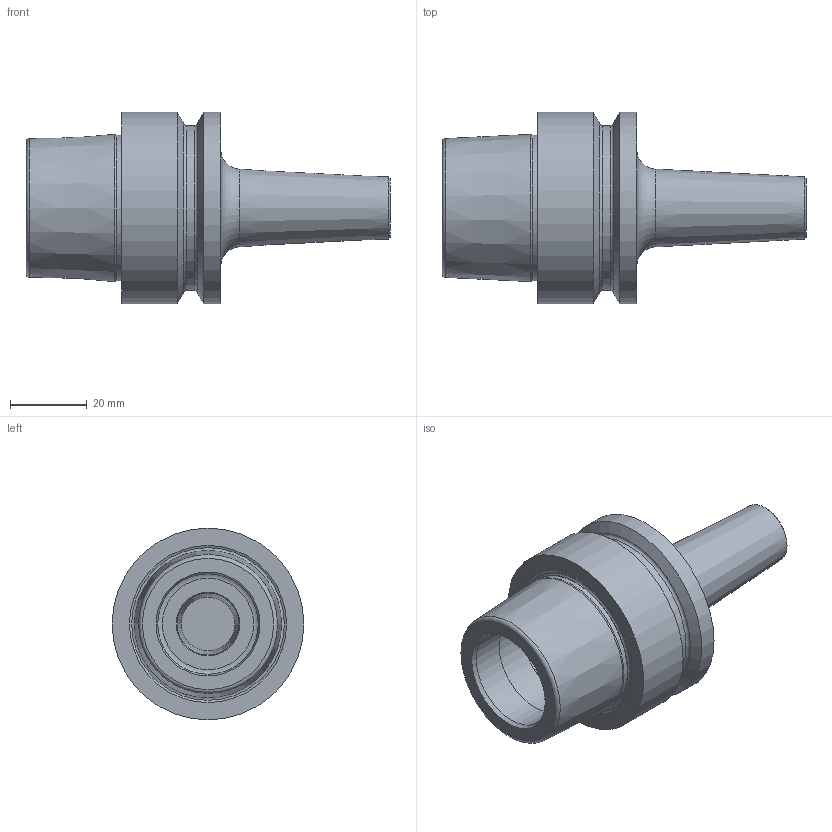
import cadquery as cq
import math

TOTAL_LENGTH = 94.9
FLANGE_START = 24.9
FLANGE_LENGTH = 25.9
FLANGE_END = FLANGE_START + FLANGE_LENGTH
FLANGE_RADIUS = 25.0

SHANK_CONE_END = 23.0
SHANK_LARGE_RADIUS = 19.2
SHANK_TAPER = 0.05
SHANK_NOSE_FILLET = 1.0
NECK_START = 23.6
NECK_END = 24.6
NECK_RADIUS = 19.0

RECESS_FLOOR_RADIUS = 19.9
RECESS_OUTER_RADIUS = 20.5
RECESS_DEPTH = 0.3

GROOVE_CENTRE = 42.85
GROOVE_HALF_FLOOR = 1.1
GROOVE_FLOOR_RADIUS = 21.5
GROOVE_WALL_ANGLE = math.radians(30.0)
GROOVE_FILLET = 0.8

NOSE_END_RADIUS = 8.1
NOSE_ANGLE = math.radians(3.0)
NOSE_ROOT_FILLET = 5.0
NOSE_CHAMFER = 0.3

BORE_RADIUS = 13.1
BORE_MOUTH_RADIUS = 13.55
BORE_MOUTH_DEPTH = 1.2
BORE_LIP_END = 9.6
CHAMBER_RADIUS = 14.0
BORE_DEPTH = 21.0
BORE_FLOOR_FILLET = 2.1
POCKET_RADIUS = 8.1
POCKET_MOUTH_CHAMFER = 0.2
POCKET_DEPTH = 8.0
POCKET_FLOOR_RADIUS = 7.0


def turn(profile):
    """Revolve a closed (x, radius) profile about the X axis."""
    return profile.close().revolve(360, (0, 0, 0), (1, 0, 0))


def shank_radius(x):
    return SHANK_LARGE_RADIUS - (SHANK_CONE_END - x) * SHANK_TAPER


def nose_radius(x):
    return NOSE_END_RADIUS + (TOTAL_LENGTH - x) * math.tan(NOSE_ANGLE)


def make_shank():
    """Tapered shank with rounded end, carried through the neck into the flange."""
    fillet = SHANK_NOSE_FILLET
    mid = fillet * (1 - math.sqrt(0.5))
    rim = shank_radius(fillet)
    recess_floor = FLANGE_START + RECESS_DEPTH
    profile = (
        cq.Workplane("XY")
        .lineTo(0, rim - fillet)
        .threePointArc((mid, rim - mid), (fillet, rim))
        .lineTo(SHANK_CONE_END, SHANK_LARGE_RADIUS)
        .lineTo(NECK_START, NECK_RADIUS)
        .lineTo(recess_floor, NECK_RADIUS)
        .lineTo(recess_floor, 0)
    )
    return turn(profile)


def make_flange():
    profile = (
        cq.Workplane("XY")
        .moveTo(FLANGE_START, 0)
        .lineTo(FLANGE_START, FLANGE_RADIUS)
        .lineTo(FLANGE_END, FLANGE_RADIUS)
        .lineTo(FLANGE_END, 0)
    )
    return turn(profile)


def make_face_recess():
    """Ring cut: curved up from the neck, then sloping back out to the flange face."""
    floor = FLANGE_START + RECESS_DEPTH
    length = floor - NECK_END
    height = RECESS_FLOOR_RADIUS - NECK_RADIUS
    arc_mid = (NECK_END + length * math.sqrt(0.5), NECK_RADIUS + height * (1 - math.sqrt(0.5)))
    profile = (
        cq.Workplane("XY")
        .moveTo(NECK_END, NECK_RADIUS)
        .threePointArc(arc_mid, (floor, RECESS_FLOOR_RADIUS))
        .lineTo(FLANGE_START, RECESS_OUTER_RADIUS)
        .lineTo(NECK_END, RECESS_OUTER_RADIUS)
    )
    return turn(profile)


def make_groove():
    """Ring cut with a flat floor, quarter-round floor corners and flared walls."""
    fillet = GROOVE_FILLET
    mid = fillet * (1 - math.sqrt(0.5))
    half_neck = GROOVE_HALF_FLOOR + fillet
    wall_foot = GROOVE_FLOOR_RADIUS + fillet
    half_mouth = half_neck + (FLANGE_RADIUS - wall_foot) * math.tan(GROOVE_WALL_ANGLE)
    profile = (
        cq.Workplane("XY")
        .moveTo(GROOVE_CENTRE - half_mouth, FLANGE_RADIUS)
        .lineTo(GROOVE_CENTRE - half_neck, wall_foot)
        .threePointArc(
            (GROOVE_CENTRE - half_neck + mid, GROOVE_FLOOR_RADIUS + mid),
            (GROOVE_CENTRE - GROOVE_HALF_FLOOR, GROOVE_FLOOR_RADIUS),
        )
        .lineTo(GROOVE_CENTRE + GROOVE_HALF_FLOOR, GROOVE_FLOOR_RADIUS)
        .threePointArc(
            (GROOVE_CENTRE + half_neck - mid, GROOVE_FLOOR_RADIUS + mid),
            (GROOVE_CENTRE + half_neck, wall_foot),
        )
        .lineTo(GROOVE_CENTRE + half_mouth, FLANGE_RADIUS)
    )
    return turn(profile)


def make_nose():
    """Tapered nose, blended into the flange by a fillet tangent to both."""
    fillet = NOSE_ROOT_FILLET
    centre_x = FLANGE_END + fillet
    centre_r = nose_radius(centre_x) + fillet / math.cos(NOSE_ANGLE)

    def arc_point(angle):
        """Point at an angle from the flange face towards the cone."""
        return (centre_x - fillet * math.cos(angle), centre_r - fillet * math.sin(angle))

    tangent_angle = math.pi / 2 - NOSE_ANGLE
    chamfer_start = TOTAL_LENGTH - NOSE_CHAMFER
    profile = (
        cq.Workplane("XY")
        .moveTo(FLANGE_END, 0)
        .lineTo(*arc_point(0))
        .threePointArc(arc_point(tangent_angle / 2), arc_point(tangent_angle))
        .lineTo(chamfer_start, nose_radius(chamfer_start))
        .lineTo(TOTAL_LENGTH, NOSE_END_RADIUS - NOSE_CHAMFER)
        .lineTo(TOTAL_LENGTH, 0)
    )
    return turn(profile)


def make_bore():
    """Chamfered bore opening into a round-cornered chamber, with a tapered pocket in its floor."""
    fillet = BORE_FLOOR_FILLET
    mid = fillet * (1 - math.sqrt(0.5))
    pocket_mouth = POCKET_RADIUS + POCKET_MOUTH_CHAMFER
    pocket_floor = BORE_DEPTH + POCKET_DEPTH
    profile = (
        cq.Workplane("XY")
        .lineTo(0, BORE_MOUTH_RADIUS)
        .lineTo(BORE_MOUTH_DEPTH, BORE_RADIUS)
        .lineTo(BORE_LIP_END, BORE_RADIUS)
        .lineTo(BORE_LIP_END, CHAMBER_RADIUS)
        .lineTo(BORE_DEPTH - fillet, CHAMBER_RADIUS)
        .threePointArc((BORE_DEPTH - mid, CHAMBER_RADIUS - mid), (BORE_DEPTH, CHAMBER_RADIUS - fillet))
        .lineTo(BORE_DEPTH, pocket_mouth)
        .lineTo(BORE_DEPTH + POCKET_MOUTH_CHAMFER, POCKET_RADIUS)
        .lineTo(pocket_floor, POCKET_FLOOR_RADIUS)
        .lineTo(pocket_floor, 0)
    )
    return turn(profile)


flange = make_flange().cut(make_face_recess()).cut(make_groove())
result = flange.union(make_shank()).union(make_nose()).cut(make_bore())